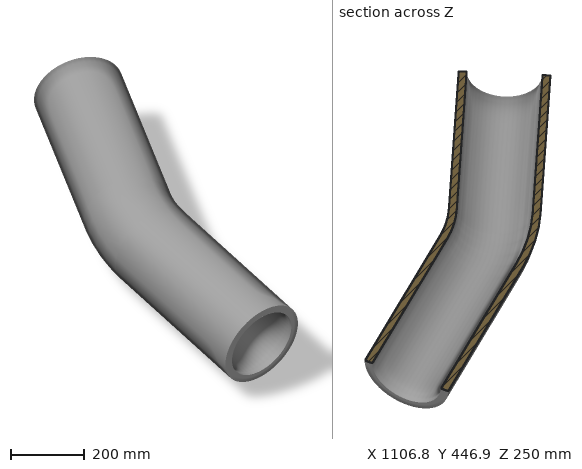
import cadquery as cq
import math

outer_diameter = 250.0
bore_diameter = 204.6
bend_angle = 22.0
bend_radius = 1.5 * outer_diameter
leg_length = 550.0

tangent_length = bend_radius * math.tan(math.radians(bend_angle / 2))
straight_length = leg_length - tangent_length


def pipe_centreline():
    """Inlet leg along +X, then an arc toward +Y, then the outlet leg."""
    half_angle = math.radians(bend_angle / 2)
    full_angle = math.radians(bend_angle)

    def point_on_bend(angle):
        x = -tangent_length + bend_radius * math.sin(angle)
        y = bend_radius * (1 - math.cos(angle))
        return (x, y)

    outlet_end = (leg_length * math.cos(full_angle), leg_length * math.sin(full_angle))
    return (
        cq.Workplane("XY")
        .moveTo(-leg_length, 0)
        .lineTo(-leg_length + straight_length, 0)
        .threePointArc(point_on_bend(half_angle), point_on_bend(full_angle))
        .lineTo(*outlet_end)
    )


def pipe_section():
    """Ring-shaped wall section at the inlet end, square to the X axis."""
    return (
        cq.Workplane("YZ", origin=(-leg_length, 0, 0))
        .circle(outer_diameter / 2)
        .circle(bore_diameter / 2)
    )


result = pipe_section().sweep(pipe_centreline())